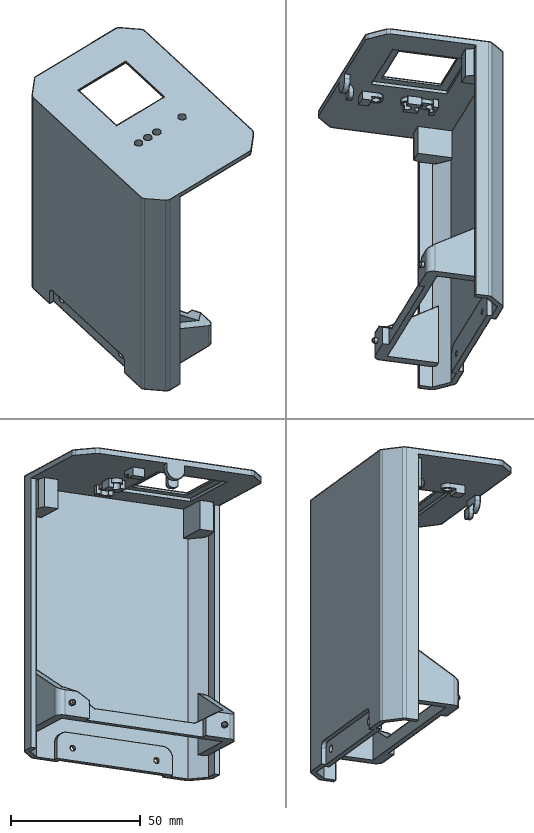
import cadquery as cq
width = 82.0
depth = 55.2
height = 110.5
wall = 2.2
corner_cut = 7.1
corner_radius = 2.2
shell_depth = 13.0
plate_underside = height - wall

recess_width = 46.0
recess_height = 8.8
recess_radius = 2.2
recess_depth = 2.0
panel_back = recess_depth + wall
screw_spacing = 36.5
screw_height = 5.0
screw_diameter = 2.2
screw_mouth_diameter = 2.9

window_size = 23.6
window_x = -13.5
window_y = 27.8
window_lip = 0.9
window_rebate = 3.3

row_x = 10.7
row_hole_diameter = 3.2
first_light_y = 16.9
light_pitch = 4.5
light_count = 3
light_ys = [first_light_y + i * light_pitch for i in range(light_count)]
button_y = 38.5
guide_radius = 2.5
guide_drop = 1.8
stop_drop = 3.4
light_stop_width = 7.1
light_stops = [(14.5, 16.5), (21.1, 26.6)]
button_stop = (40.9, 44.8)

block_height = 11.7
block_end_y = 16.0
block_inner_x = 30.9
block_outer_x = 37.8
block_taper = 1.0

strap_bottom = 8.8
strap_inner_y = 27.1
strap_thickness = 2.2
strap_top = 13.9
arm_front_y = 6.6
arm_end_y = 31.7
arm_wall_top = 29.8
arm_end_top = 19.0
arm_thickness = 3.8
arm_corner_radius = 2.9
pad_inner_x = 25.3
hip_x = 30.5
pin_x = 33.2
pin_height = 14.0
pin_diameter = 2.2
pin_length = 1.9
pin_chamfer = 0.5

tab_thickness = 2.2
tab_radius = 3.9
tab_center_z = 106.3
hook_width = 4.4
hook_thickness = 1.8
hook_top = 105.4
hook_bottom = 99.7
hook_bevel = 1.7
hook_corner_radius = 1.5


def box(x0, x1, y0, y1, z0, z1):
    """Box between opposite corners."""
    return cq.Workplane("XY").box(x1 - x0, y1 - y0, z1 - z0, centered=False).translate((x0, y0, z0))


def both_sides(body):
    """The body together with its mirror image across the YZ plane."""
    return body.union(body.mirror("YZ"))


def cut_corner_block(inset, block_height):
    """Upright block with cut and rounded corners, its sides set in from the housing outline."""
    cut = corner_cut - (2 - 2**0.5) * inset
    block = (
        cq.Workplane("XY")
        .rect(width - 2 * inset, depth - 2 * inset)
        .extrude(block_height)
        .translate((0, depth / 2, 0))
        .edges("|Z")
        .chamfer(cut)
    )
    if inset < corner_radius:
        block = block.edges("|Z").fillet(corner_radius - inset)
    return block


def make_housing():
    """Thin front shell and full-size top plate, sharing one outline with cut and rounded corners."""
    outer = cut_corner_block(0, height)
    cavity = cut_corner_block(wall, plate_underside)
    behind_shell = box(-width, width, shell_depth, depth + 1.1, 0, plate_underside)
    return outer.cut(cavity).cut(behind_shell)


def foot_panel(panel_width, panel_height, radius, y0, y1):
    """Panel standing on the foot of the front wall, with rounded upper corners."""
    panel = box(-panel_width / 2, panel_width / 2, y0, y1, 0, panel_height)
    return panel.edges("|Y and >Z").fillet(radius)


def make_screw_holes():
    """Pair of tapered holes, widest at the front, through the recessed panel."""
    hole = (
        cq.Workplane("XY", origin=(screw_spacing / 2, 0, screw_height))
        .polyline(
            [
                (0, recess_depth),
                (screw_mouth_diameter / 2, recess_depth),
                (screw_diameter / 2, panel_back),
                (0, panel_back),
            ]
        )
        .close()
        .revolve(360, (0, 0, 0), (0, 1, 0))
    )
    return both_sides(hole)


def make_guide(y0, y1):
    """Round-ended boss under the plate, with end centres at y0 and y1."""
    length = y1 - y0 + 2 * guide_radius
    return (
        cq.Workplane("XY", origin=(row_x, (y0 + y1) / 2, plate_underside - guide_drop))
        .slot2D(length, 2 * guide_radius, 90)
        .extrude(guide_drop)
    )


def make_stop(y_range, stop_width):
    """Block under the plate, centred on the row and spanning y_range."""
    x0 = row_x - stop_width / 2
    return box(x0, x0 + stop_width, *y_range, plate_underside - stop_drop, plate_underside)


def window_cut(size, cut_depth):
    """Square cut around the window centre, rising from the underside of the plate."""
    underside = cq.Workplane("XY", origin=(window_x, window_y, plate_underside))
    return underside.rect(size, size).extrude(cut_depth)


def make_row_holes():
    return (
        cq.Workplane("XY", origin=(0, 0, plate_underside - stop_drop))
        .pushPoints([(row_x, y) for y in light_ys + [button_y]])
        .circle(row_hole_diameter / 2)
        .extrude(stop_drop + wall)
    )


def make_corner_blocks():
    block = (
        cq.Workplane("XY", origin=(0, 0, plate_underside - block_height))
        .moveTo(-block_inner_x, wall / 2)
        .lineTo(-block_inner_x, block_end_y)
        .lineTo(-block_outer_x + block_taper, block_end_y)
        .lineTo(-block_outer_x, shell_depth)
        .lineTo(-block_outer_x, corner_cut)
        .lineTo(-block_outer_x + corner_cut - wall, wall / 2)
        .close()
        .extrude(block_height)
    )
    return both_sides(block)


def make_strap():
    """Left half of the strap with its arm, mitred where the two sloping tops meet, then mirrored."""
    arm_x = -width / 2 + wall
    slope = (arm_wall_top - arm_end_top) / (arm_end_y - shell_depth)
    plan = (
        cq.Workplane("XY", origin=(0, 0, strap_bottom))
        .moveTo(arm_x, arm_front_y)
        .lineTo(arm_x, arm_end_y - arm_corner_radius)
        .radiusArc((arm_x + arm_corner_radius, arm_end_y), arm_corner_radius)
        .lineTo(-pad_inner_x, arm_end_y)
        .lineTo(-pad_inner_x, strap_inner_y + strap_thickness)
        .lineTo(0, strap_inner_y + strap_thickness)
        .lineTo(0, strap_inner_y)
        .lineTo(arm_x + arm_thickness, strap_inner_y)
        .lineTo(arm_x + arm_thickness, arm_front_y)
        .close()
        .extrude(height / 2)
    )
    front_top = arm_end_top + slope * (arm_end_y - arm_front_y)
    arm_top = (
        cq.Workplane("YZ", origin=(-width / 2, 0, 0))
        .polyline([(arm_front_y, 0), (arm_end_y, 0), (arm_end_y, arm_end_top), (arm_front_y, front_top)])
        .close()
        .extrude(width / 2)
    )
    outer_top = arm_end_top + slope * (width / 2 - hip_x)
    level_x = -hip_x + (arm_end_top - strap_top) / slope
    strap_side = (
        cq.Workplane("XZ")
        .polyline([(-width / 2, 0), (-width / 2, outer_top), (level_x, strap_top), (0, strap_top), (0, 0)])
        .close()
        .extrude(-depth)
    )
    arm_only = box(arm_x, arm_x + arm_thickness, 0, strap_inner_y, 0, height)
    half = plan.intersect(arm_top).intersect(strap_side.union(arm_only))
    pin = (
        cq.Workplane("XZ", origin=(-pin_x, arm_end_y, pin_height))
        .circle(pin_diameter / 2)
        .extrude(-pin_length)
        .faces(">Y")
        .chamfer(pin_chamfer)
    )
    return both_sides(half.union(pin))


def make_latch():
    tab_front = depth - tab_thickness
    tab = (
        cq.Workplane("XZ", origin=(0, depth, 0))
        .moveTo(-tab_radius, plate_underside)
        .lineTo(-tab_radius, tab_center_z)
        .threePointArc((0, tab_center_z - tab_radius), (tab_radius, tab_center_z))
        .lineTo(tab_radius, plate_underside)
        .close()
        .extrude(tab_thickness)
    )
    hook = (
        cq.Workplane("YZ", origin=(-hook_width / 2, 0, 0))
        .moveTo(tab_front, hook_top)
        .lineTo(tab_front - hook_thickness, hook_top - hook_bevel)
        .lineTo(tab_front - hook_thickness, hook_bottom)
        .lineTo(tab_front, hook_bottom)
        .close()
        .extrude(hook_width)
        .edges("|Y and <Z")
        .fillet(hook_corner_radius)
    )
    return tab.union(hook)


result = make_housing()

backing = foot_panel(
    recess_width + 2 * wall, recess_height + wall, recess_radius + wall, wall / 2, panel_back
)
result = (
    result.union(backing)
    .cut(foot_panel(recess_width, recess_height, recess_radius, 0, recess_depth))
    .cut(make_screw_holes())
)

result = (
    result.union(make_guide(light_ys[0], light_ys[-1]))
    .union(make_guide(button_y, button_stop[1] - guide_radius))
    .union(make_stop(button_stop, 2 * guide_radius))
    .union(make_corner_blocks())
    .union(make_latch())
)
for light_stop in light_stops:
    result = result.union(make_stop(light_stop, light_stop_width))

rebate_size = window_size + 2 * window_rebate
result = result.cut(window_cut(window_size, wall)).cut(window_cut(rebate_size, wall - window_lip))
result = result.cut(make_row_holes())

result = result.union(make_strap())